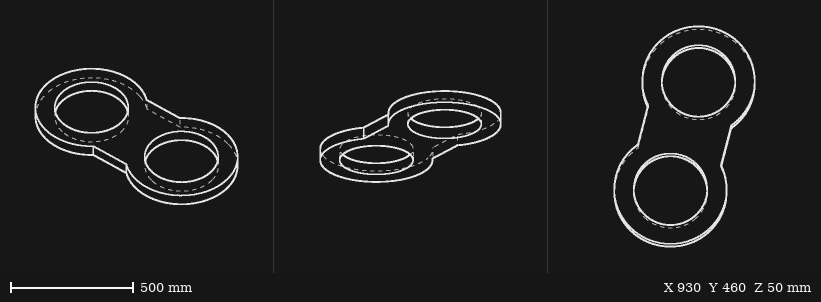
import cadquery as cq

length = 930.0
ring_diameter = 460.0
hole_diameter = 300.0
web_width = 351.0
thickness = 50.0

ring_spacing = length - ring_diameter
ring_centers = [(-ring_spacing / 2, 0), (ring_spacing / 2, 0)]


def discs(diameter):
    """Two full-thickness discs, one at each ring center."""
    return cq.Workplane("XY").pushPoints(ring_centers).circle(diameter / 2).extrude(thickness)


web = cq.Workplane("XY").rect(ring_spacing, web_width).extrude(thickness)

result = web.union(discs(ring_diameter)).cut(discs(hole_diameter))